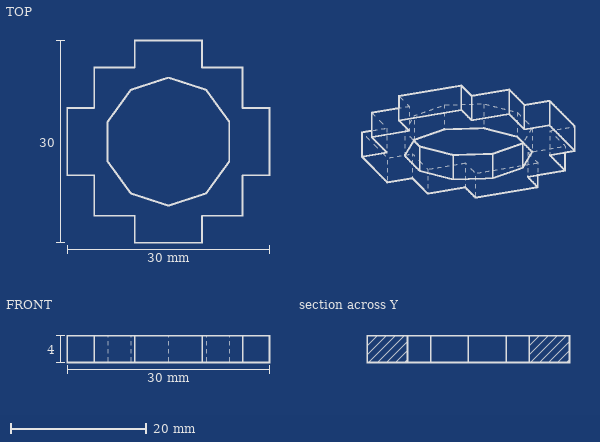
import cadquery as cq

overall_size = 30.0
thickness = 4.0
body_width = 22.0
arm_width = 10.0
bore_across_flats = 18.0
bore_sides = 10


def plate(x_size, y_size):
    """Rectangular plate centred on the Z axis, resting on Z = 0."""
    return cq.Workplane("XY").rect(x_size, y_size).extrude(thickness)


def decagonal_bore():
    """Ten-sided prism with two flats facing along X."""
    return (
        cq.Workplane("XY")
        .polygon(bore_sides, bore_across_flats, circumscribed=True)
        .extrude(thickness)
    )


body = plate(body_width, body_width)
bar_along_x = plate(overall_size, arm_width)
bar_along_y = plate(arm_width, overall_size)

result = body.union(bar_along_x).union(bar_along_y).cut(decagonal_bore())